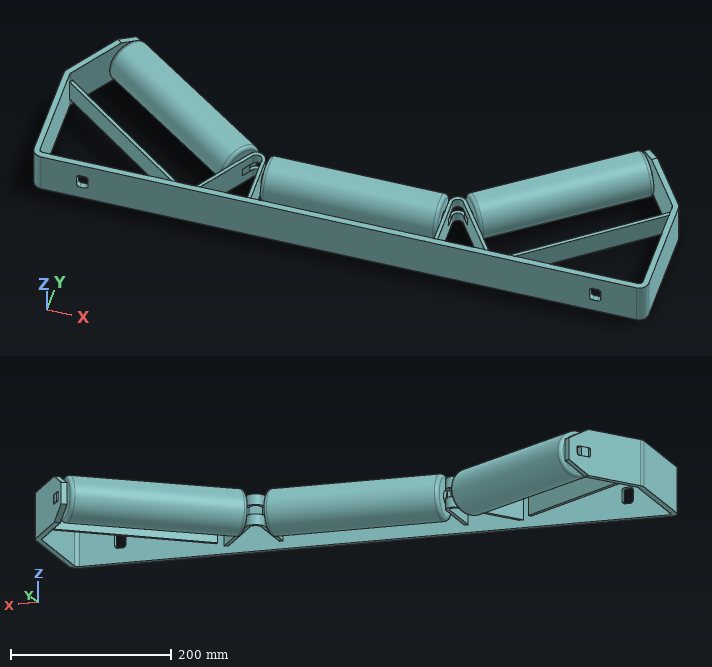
import cadquery as cq
import math


frame_length = 800.0
frame_width = 60.0
frame_thickness = 8.0
frame_depth = 241.0
bend_radius = 13.0
wing_bend_start = 142.0
wing_angle = 35.0
tip_chamfer_length = 30.0
tip_chamfer_rise = 16.0

mount_slot_spacing = 667.0
mount_slot_length = 21.0
mount_slot_width = 14.0
mount_slot_corner = 4.0
axle_slot_width = 12.0
wing_slot_length = 21.0
wing_slot_from_tip = 23.0
axle_slot_corner = 3.0

roller_length = 230.0
roller_diameter = 60.0
roller_edge_radius = 5.0
axle_diameter = 17.0
tongue_height = 11.0
axle_gap = 4.0
centre_roller_height = 70.0
wing_roller_from_tip = 25.0

bracket_thickness = 5.0
bracket_width = 40.0
bracket_bend_radius = 12.0
bracket_top = 93.0

strut_thickness = 5.0
strut_width = 32.0
strut_foot = 207.0
strut_angle = 36.0

sine = math.sin(math.radians(wing_angle))
cosine = math.cos(math.radians(wing_angle))
plate_direction = (sine, cosine)
plate_normal = (-cosine, sine)


def offset(point, direction, distance):
    return (point[0] + distance * direction[0], point[1] + distance * direction[1])


def mirrored_pair(body):
    return [body.val(), body.mirror("YZ").val()]


half_length = frame_length / 2
wing_corner_height = wing_bend_start + bend_radius * math.tan(math.radians(wing_angle / 2))
wing_corner = (-half_length, wing_corner_height)
plate_length = (frame_depth - wing_corner_height) / cosine
wing_tip = offset(wing_corner, plate_direction, plate_length)
wing_plane = cq.Plane(
    origin=(*wing_tip, 0), xDir=(*plate_direction, 0), normal=(*plate_normal, 0)
)


def strip(outline, width):
    return cq.Workplane("XY").polyline(outline).close().extrude(width / 2, both=True)


def round_corners(body, corners, radius):
    """Round the strip's bends at the given left corners and at their mirror images."""
    for x, y in corners:
        for side in (1, -1):
            corner = cq.selectors.NearestToPointSelector((side * x, y, 0))
            body = body.edges("|Z").edges(corner).fillet(radius)
    return body


def make_frame():
    inner_tip = offset(wing_tip, plate_normal, -frame_thickness)
    inner_x = frame_thickness - half_length
    inner_wing_corner = (inner_x, inner_tip[1] - (inner_tip[0] - inner_x) * cosine / sine)
    inner_base_corner = (inner_x, frame_thickness)
    base_corner = (-half_length, 0)
    left_side = [inner_base_corner, inner_wing_corner, inner_tip, wing_tip, wing_corner, base_corner]
    right_side = [(-x, y) for x, y in reversed(left_side)]
    frame = strip(left_side + right_side, frame_width)
    frame = round_corners(frame, [base_corner, wing_corner], bend_radius)
    frame = round_corners(
        frame, [inner_base_corner, inner_wing_corner], bend_radius - frame_thickness
    )

    tip_half = frame_width / 2 - tip_chamfer_rise
    for z_side in (-1, 1):
        taper = (
            cq.Workplane(wing_plane)
            .polyline([
                (0, z_side * tip_half),
                (0, z_side * frame_width / 2),
                (-tip_chamfer_length, z_side * frame_width / 2),
            ])
            .close()
            .extrude(-frame_thickness)
        )
        frame = frame.cut(taper).cut(taper.mirror("YZ"))
    wing_slot = (
        cq.Workplane(wing_plane)
        .center(-wing_slot_from_tip, 0)
        .rect(wing_slot_length, axle_slot_width)
        .extrude(-frame_thickness)
        .edges(cq.selectors.ParallelDirSelector(wing_plane.zDir))
        .fillet(axle_slot_corner)
    )
    frame = frame.cut(wing_slot).cut(wing_slot.mirror("YZ"))

    mount_slots = (
        cq.Workplane("XZ")
        .pushPoints([(-mount_slot_spacing / 2, 0), (mount_slot_spacing / 2, 0)])
        .rect(mount_slot_width, mount_slot_length)
        .extrude(-frame_thickness)
        .edges("|Y")
        .fillet(mount_slot_corner)
    )
    return frame.cut(mount_slots)


leg_face = -(roller_length / 2 + axle_gap)
bracket_bend = (leg_face - bracket_bend_radius, bracket_top - bracket_bend_radius)
wing_leg_face = offset(bracket_bend, plate_normal, bracket_bend_radius)

axle_direction = (cosine, -sine)
wing_axle_start = offset(
    offset(wing_tip, plate_direction, -wing_roller_from_tip), axle_direction, frame_thickness
)
wing_span = (
    (wing_leg_face[0] - wing_axle_start[0]) * axle_direction[0]
    + (wing_leg_face[1] - wing_axle_start[1]) * axle_direction[1]
)
wing_axle_end = offset(wing_axle_start, axle_direction, wing_span)


def bracket_face(radius):
    """Corner points of the bracket face that is bent to this radius, leg by leg."""
    wing_top = offset(bracket_bend, plate_normal, radius)
    wing_leg_length = (wing_top[1] - frame_thickness) / cosine
    return {
        "leg_foot": (bracket_bend[0] + radius, frame_thickness),
        "leg_top": (bracket_bend[0] + radius, bracket_bend[1]),
        "crown": (bracket_bend[0], bracket_bend[1] + radius),
        "wing_top": wing_top,
        "wing_foot": offset(wing_top, plate_direction, -wing_leg_length),
    }


def make_bracket():
    outer = bracket_face(bracket_bend_radius)
    inner = bracket_face(bracket_bend_radius - bracket_thickness)
    bracket = (
        cq.Workplane("XY")
        .moveTo(*outer["leg_foot"])
        .lineTo(*outer["leg_top"])
        .threePointArc(outer["crown"], outer["wing_top"])
        .lineTo(*outer["wing_foot"])
        .lineTo(*inner["wing_foot"])
        .lineTo(*inner["wing_top"])
        .threePointArc(inner["crown"], inner["leg_top"])
        .lineTo(*inner["leg_foot"])
        .close()
        .extrude(bracket_width / 2, both=True)
    )
    wing_seat = offset(wing_axle_end, plate_direction, -tongue_height / 2)
    leg_seat = (leg_face, centre_roller_height - tongue_height / 2)
    slot = strip(
        [
            wing_seat,
            (wing_seat[0], bracket_top),
            (leg_face, bracket_top),
            leg_seat,
            offset(leg_seat, (-1, 0), bracket_thickness),
            offset(wing_seat, axle_direction, bracket_thickness),
        ],
        axle_slot_width,
    )
    return bracket.cut(slot)


def make_roller(start, direction, span, start_tongue, end_tongue):
    """Roller centred between two supports, with a flat tongue in each support's slot."""
    axis = cq.Plane(origin=(*start, 0), xDir=(0, 0, 1), normal=(*direction, 0))
    barrel = (
        cq.Workplane(axis)
        .workplane(offset=(span - roller_length) / 2)
        .circle(roller_diameter / 2)
        .extrude(roller_length)
        .edges("%CIRCLE")
        .fillet(roller_edge_radius)
    )
    axle = cq.Workplane(axis).circle(axle_diameter / 2).extrude(span)
    tongues = (
        cq.Workplane(axis)
        .workplane(offset=-start_tongue)
        .rect(axle_slot_width, tongue_height)
        .extrude(start_tongue + span + end_tongue)
    )
    return barrel.union(axle).union(tongues)


def make_strut():
    slope = math.radians(strut_angle)
    along = (-math.cos(slope), math.sin(slope))
    across = (math.sin(slope), math.cos(slope))
    foot = (-strut_foot, frame_thickness)
    head = offset(foot, along, (half_length - frame_thickness - strut_foot) / math.cos(slope))
    return strip(
        [foot, offset(foot, across, strut_thickness), offset(head, across, strut_thickness), head],
        strut_width,
    )


frame = make_frame()
brackets = mirrored_pair(make_bracket())
struts = mirrored_pair(make_strut())
centre_roller = make_roller(
    (leg_face, centre_roller_height), (1, 0), -2 * leg_face, bracket_thickness, bracket_thickness
)
wing_rollers = mirrored_pair(
    make_roller(wing_axle_start, axle_direction, wing_span, frame_thickness, bracket_thickness)
)

result = cq.Compound.makeCompound(
    [frame.val(), *brackets, *struts, centre_roller.val(), *wing_rollers]
)